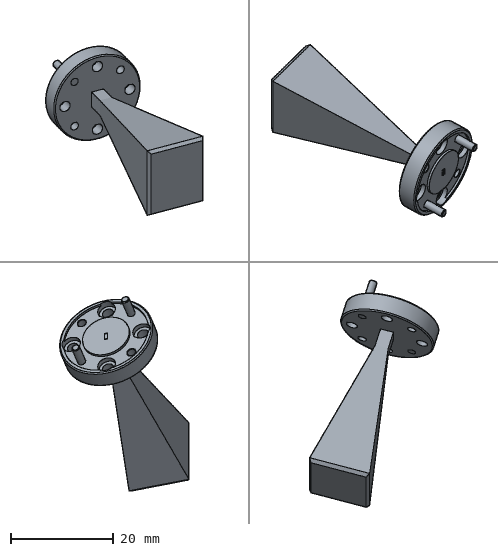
import cadquery as cq
import math

total_length = 41.95
flange_front = 3.9
flange_thickness = 4.0
flange_back = flange_front + flange_thickness
horn_start = 11.55
lip_length = 0.75
lip_start = total_length - lip_length

flange_radius = 9.53
flange_chamfer = 0.25
groove_outer_radius = 8.65
groove_inner_radius = 4.8
groove_depth = 0.5
groove_floor = flange_front + groove_depth

bolt_circle_diameter = 14.3
bolt_circle_radius = bolt_circle_diameter / 2
screw_hole_diameter = 2.22
screw_hole_radius = screw_hole_diameter / 2
counterbore_radius = 1.8
counterbore_depth = 1.5
dowel_hole_radius = 0.85
dowel_hole_chamfer = 0.1
screw_angles = [0, 90, 180, 270]
dowel_hole_angles = [45, 225]
pin_angles = [135, 315]

pin_radius = 0.8
pin_chamfer = 0.15

neck_width = 2.65
neck_height = 3.4
mouth_width = 12.25
mouth_height = 14.77
lip_inset = 0.5
port_width = 0.65
port_height = 1.43
port_depth = 0.15


def section(x):
    """Workplane across the axis at station x: local x is Y, local y is Z."""
    return cq.Workplane("YZ", origin=(x, 0, 0))


def on_bolt_circle(angle):
    """Y and Z of a point on the bolt circle."""
    turn = math.radians(angle)
    return bolt_circle_radius * math.cos(turn), bolt_circle_radius * math.sin(turn)


def cylinder(start, end, radius, angle):
    """Cylinder along X, centred on the bolt circle."""
    return section(start).center(*on_bolt_circle(angle)).circle(radius).extrude(end - start)


def taper(start, end, start_size, end_size):
    """Straight-sided frustum between two rectangular sections."""
    return section(start).rect(*start_size).workplane(offset=end - start).rect(*end_size).loft(ruled=True)


def make_flange():
    """Chamfered disc with a shallow annular groove in its front face."""
    disc = section(flange_front).circle(flange_radius).extrude(flange_thickness)
    disc = disc.edges().chamfer(flange_chamfer)
    groove = section(flange_front).circle(groove_outer_radius).circle(groove_inner_radius)
    return disc.cut(groove.extrude(groove_depth))


def make_horn():
    """Straight neck, flaring horn and the bevelled lip at its mouth."""
    neck_size = (neck_width, neck_height)
    mouth_size = (mouth_width, mouth_height)
    lip_size = (mouth_width - 2 * lip_inset, mouth_height - 2 * lip_inset)
    neck = section(flange_back).rect(*neck_size).extrude(horn_start - flange_back)
    flare = taper(horn_start, lip_start, neck_size, mouth_size)
    lip = taper(lip_start, total_length, mouth_size, lip_size)
    return neck.union(flare).union(lip)


def screw_hole(angle):
    """Counterbored through hole."""
    bore = cylinder(flange_front, flange_back, screw_hole_radius, angle)
    counterbore = cylinder(flange_front, flange_front + counterbore_depth, counterbore_radius, angle)
    return bore.union(counterbore)


def dowel_hole(angle):
    """Through hole with a countersunk edge at the groove floor."""
    bore = cylinder(groove_floor, flange_back, dowel_hole_radius, angle)
    mouth = cq.Workplane(cq.Solid.makeCone(
        dowel_hole_radius + dowel_hole_chamfer,
        dowel_hole_radius,
        dowel_hole_chamfer,
        pnt=cq.Vector(groove_floor, *on_bolt_circle(angle)),
        dir=cq.Vector(1, 0, 0),
    ))
    return bore.union(mouth)


def make_antenna():
    """Flange and horn in one piece, with all holes and the port recess."""
    body = make_flange().union(make_horn())
    for angle in screw_angles:
        body = body.cut(screw_hole(angle))
    for angle in dowel_hole_angles:
        body = body.cut(dowel_hole(angle))
    for angle in pin_angles:
        body = body.cut(cylinder(flange_front, flange_back, pin_radius, angle))
    port = section(flange_front).rect(port_width, port_height).extrude(port_depth)
    return body.cut(port)


def make_pin(angle):
    """Dowel pin seated through the flange, with a chamfered tip."""
    return cylinder(0, flange_back, pin_radius, angle).faces("<X").chamfer(pin_chamfer)


antenna = make_antenna()
pins = [make_pin(angle) for angle in pin_angles]

result = cq.Compound.makeCompound([antenna.val(), *[pin.val() for pin in pins]])